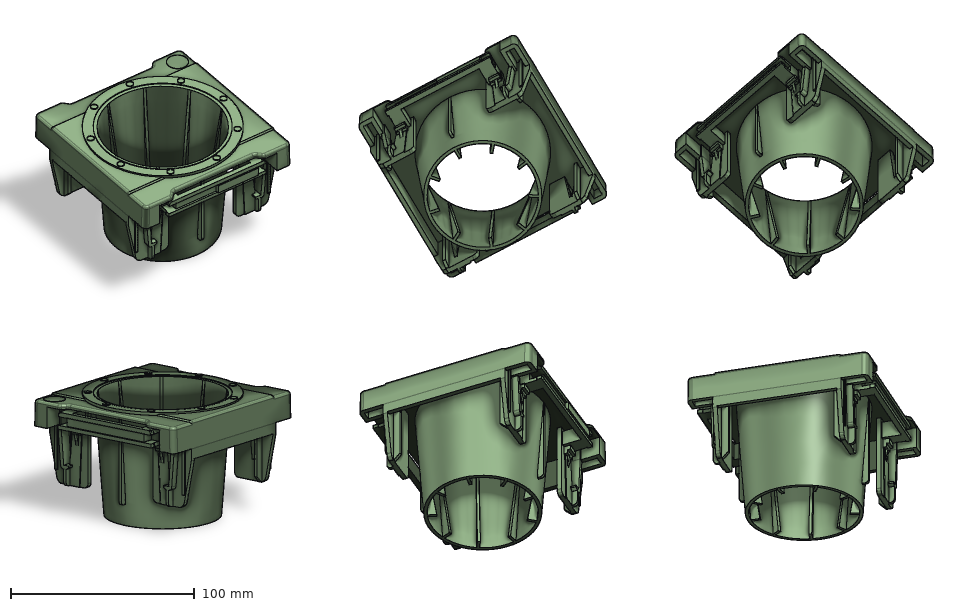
import cadquery as cq

PLATE_X = 103.0
SIZE_Y = 99.0
HEIGHT = 69.0

PLATE_TOP_Y = 98.0
PLATE_TOP = 66.8
SKIN_BOTTOM = 64.2
SKIRT_BOTTOM = 52.1
CORNER_RADIUS = 3.0
EDGE_RADIUS = 1.5
WALL = 2.5
NOTCH_DEPTH = 3.9
NOTCH_HALF_OUTER = 30.6
NOTCH_HALF_INNER = 27.3
NOTCH_RADIUS = 2.6
POST_INNER_Y = 39.4
POST_INNER_X = 36.9

STRIP_TOP = 67.6
STRIP_HALF_TOP = 35.3
STRIP_HALF_BASE = 36.2

RING_OUTER_R = 87.6 / 2
RING_INNER_R = 75.6 / 2
RING_TOP = 68.5
PIN_COUNT = 9
PIN_DIAMETER = 4.0
PIN_CIRCLE_R = (RING_OUTER_R + RING_INNER_R) / 2
MARK_DIAMETER = 12.0
MARK_DEPTH = 0.2
MARK_X = -42.9
MARK_Y = 41.0

TUBE_BOTTOM_R = 32.1
TUBE_TOP_R = 36.9
BORE_BOTTOM_R = 30.2
BORE_TOP_R = 35.7
LIP_TOP = 68.0
FIN_COUNT = 9
FIN_TIP_R = 25.0
FIN_THICKNESS = 1.6
RIB_BOTTOM = 12.4
RIB_CORNER_RADIUS = 2.0

LEG_INNER_X = 34.0
LEG_OUTER_X = 36.6
LEG_BOTTOM = 17.9
LEG_INNER_Y = 22.6
LEG_STRAIGHT_Z = 45.5
LEG_FOOT_Y = 43.9
LEG_OUTER_RADIUS = 4.0
LEG_INNER_RADIUS = 3.0
LEG_GUSSET_X = 30.0
LEG_GUSSET_Y = 40.0
LEG_GUSSET_WIDTH = 1.8
LEG_GUSSET_CHAMFER = 3.6
BAND_BOTTOM = 46.2

WINDOW_TOP_Y = 38.5
WINDOW_FOOT_Y = 36.6
WINDOW_BOTTOM = 29.7
WINDOW_RIB_X = 40.4
WINDOW_RIB_WIDTH = 2.2
LEDGE_BOTTOM = WINDOW_BOTTOM - WINDOW_RIB_WIDTH
LEDGE_LIP = 1.0
LEDGE_INNER_Y = 33.1
STEM_INNER_Y = 34.9
STEM_RADIUS = 2.5
LOW_RIB_X = 37.3
LOW_RIB_BOTTOM = 25.4
LOW_RIB_INNER_Y = 43.6
LOW_RIB_WIDTH = 1.8

ARM_OUTER_X = 37.2
ARM_TOP_OUTER_Y = 32.0
ARM_TOP_INNER_Y = 26.0
ARM_FOOT_OUTER_Y = 35.0
ARM_FOOT_INNER_Y = 28.2
ARM_BRACKET_X = 40.4
BRACKET_STEP_Z = 49.9
BRACKET_BOTTOM = 47.8
BRACKET_FOOT_X = 38.7
BRACKET_INNER_Y = 26.1
RAIL_ARM_INNER_Y = 24.3
ARM_GUSSET_BOTTOM = 41.3
ARM_GUSSET_INNER_Y = 28.9
ARM_GUSSET_WIDTH = 1.8

RAIL_OUTER_X = 50.6
RAIL_DEPTH = 3.0
RAIL_HALF_TOP = 32.0
RAIL_HALF_BASE = 32.6
RAIL_TOP = 62.3
RAIL_BOTTOM = 52.7
RAIL_CORNER_RADIUS = 1.5
GROOVE_TOP = 59.8
GROOVE_BOTTOM = 54.9
GROOVE_DEPTH = 1.2
END_POCKET_DEPTH = 7.5
END_POCKET_Y = 26.9
TAB_LENGTH = 26.9


def box(x0, x1, y0, y1, z0, z1):
    """Box between two opposite corners."""
    return cq.Workplane("XY").box(x1 - x0, y1 - y0, z1 - z0, centered=False).translate((x0, y0, z0))


def slab_x(points, x0, x1):
    """Closed (y, z) outline extruded along X from x0 to x1."""
    return cq.Workplane("YZ", origin=(x0, 0, 0)).polyline(points).close().extrude(x1 - x0)


def slab_y(points, y0, y1):
    """Closed (x, z) outline extruded along Y from y0 to y1."""
    return cq.Workplane("XZ", origin=(0, y1, 0)).polyline(points).close().extrude(y1 - y0)


def both_x_sides(body):
    return body.union(body.mirror("YZ"))


def four_quadrants(body):
    half = body.union(body.mirror("XZ"))
    return both_x_sides(half)


def make_block():
    """Solid block of the frame: Y faces lean in towards the top, with the raised strip on it."""
    half_x = PLATE_X / 2
    profile = [
        (-half_x, SKIRT_BOTTOM),
        (half_x, SKIRT_BOTTOM),
        (half_x, PLATE_TOP),
        (STRIP_HALF_BASE, PLATE_TOP),
        (STRIP_HALF_TOP, STRIP_TOP),
        (-STRIP_HALF_TOP, STRIP_TOP),
        (-STRIP_HALF_BASE, PLATE_TOP),
        (-half_x, PLATE_TOP),
    ]
    drafted_sides = [
        (-SIZE_Y / 2, SKIRT_BOTTOM),
        (SIZE_Y / 2, SKIRT_BOTTOM),
        (PLATE_TOP_Y / 2, STRIP_TOP),
        (-PLATE_TOP_Y / 2, STRIP_TOP),
    ]
    block = slab_y(profile, -SIZE_Y / 2, SIZE_Y / 2)
    block = block.intersect(slab_x(drafted_sides, -half_x, half_x))
    return block.faces("<X or >X").edges("not(|Y)").fillet(CORNER_RADIUS)


def cut_notches(block):
    """Shallow notch with rounded ends in each X side."""
    half_x = PLATE_X / 2
    notch = (
        cq.Workplane("XY", origin=(0, 0, SKIRT_BOTTOM))
        .moveTo(half_x, -NOTCH_HALF_OUTER)
        .lineTo(half_x - NOTCH_DEPTH, -NOTCH_HALF_INNER)
        .lineTo(half_x - NOTCH_DEPTH, NOTCH_HALF_INNER)
        .lineTo(half_x, NOTCH_HALF_OUTER)
        .close()
        .extrude(PLATE_TOP - SKIRT_BOTTOM)
    )
    reach_y = NOTCH_HALF_OUTER + NOTCH_RADIUS
    notch_zone = cq.selectors.BoxSelector((-PLATE_X, -reach_y, 0), (PLATE_X, reach_y, HEIGHT))
    return block.cut(both_x_sides(notch)).edges("|Z").edges(notch_zone).fillet(NOTCH_RADIUS)


def round_top_edges(block):
    """Round the outer top edge all the way round, leaving the strip slopes sharp."""
    step = STRIP_TOP - PLATE_TOP
    top_edges = cq.selectors.BoxSelector(
        (-PLATE_X, -SIZE_Y, PLATE_TOP - step), (PLATE_X, SIZE_Y, HEIGHT)
    )
    strip_lines = cq.selectors.BoxSelector(
        (-PLATE_X / 2 + NOTCH_DEPTH + step, -step, SKIN_BOTTOM),
        (PLATE_X / 2 - NOTCH_DEPTH - step, step, HEIGHT),
    )
    return block.edges(top_edges - strip_lines).fillet(EDGE_RADIUS)


def make_frame():
    """Top skin with a skirt along the Y sides and a post at each corner."""
    half_x = PLATE_X / 2
    inner_x = half_x - WALL
    inner_y = SIZE_Y / 2 - WALL
    frame = round_top_edges(cut_notches(make_block()))
    frame = frame.cut(box(-inner_x, inner_x, -inner_y, inner_y, SKIRT_BOTTOM, SKIN_BOTTOM))
    frame = frame.cut(box(-half_x, half_x, -POST_INNER_Y, POST_INNER_Y, SKIRT_BOTTOM, SKIN_BOTTOM))
    post_wall = box(POST_INNER_X, inner_x, POST_INNER_Y, POST_INNER_Y + WALL, SKIRT_BOTTOM, SKIN_BOTTOM)
    return frame.union(four_quadrants(post_wall))


def make_ring_and_pins():
    ring = cq.Workplane("XY", origin=(0, 0, SKIN_BOTTOM)).circle(RING_OUTER_R).extrude(RING_TOP - SKIN_BOTTOM)
    pins = (
        cq.Workplane("XY", origin=(0, 0, SKIN_BOTTOM))
        .polarArray(PIN_CIRCLE_R, 90, 360, PIN_COUNT)
        .circle(PIN_DIAMETER / 2)
        .extrude(HEIGHT - SKIN_BOTTOM)
    )
    return ring.union(pins)


def make_tube():
    return (
        cq.Workplane("XZ")
        .polyline(
            [
                (0, 0),
                (TUBE_BOTTOM_R, 0),
                (TUBE_TOP_R, SKIN_BOTTOM),
                (0, SKIN_BOTTOM),
            ]
        )
        .close()
        .revolve(360, (0, 0, 0), (0, 1, 0))
    )


def make_bore():
    """Tapered bore with a shallow step inside the ring."""
    return (
        cq.Workplane("XZ")
        .polyline(
            [
                (0, 0),
                (BORE_BOTTOM_R, 0),
                (BORE_TOP_R, LIP_TOP),
                (RING_INNER_R, LIP_TOP),
                (RING_INNER_R, RING_TOP),
                (0, RING_TOP),
            ]
        )
        .close()
        .revolve(360, (0, 0, 0), (0, 1, 0))
    )


def make_fins():
    """Wedge fins that grow inwards from the rim to the lower end of the bore."""
    root_bottom_r = (BORE_BOTTOM_R + TUBE_BOTTOM_R) / 2
    root_top_r = BORE_TOP_R + root_bottom_r - BORE_BOTTOM_R
    outline = [(FIN_TIP_R, 0), (root_bottom_r, 0), (root_top_r, LIP_TOP), (BORE_TOP_R, LIP_TOP)]
    fin = slab_y(outline, -FIN_THICKNESS / 2, FIN_THICKNESS / 2)
    fins = fin
    for index in range(1, FIN_COUNT):
        fins = fins.union(fin.rotate((0, 0, 0), (0, 0, 1), index * 360 / FIN_COUNT))
    return fins


def make_outer_ribs():
    rib = box(BORE_TOP_R - WALL, POST_INNER_X, -FIN_THICKNESS / 2, FIN_THICKNESS / 2, RIB_BOTTOM, SKIN_BOTTOM)
    rib = rib.faces(">X").edges("<Z").fillet(RIB_CORNER_RADIUS)
    return both_x_sides(rib)


def leg_window():
    """Opening between the outer leg and the spring arm."""
    outline = [
        (WINDOW_TOP_Y, SKIN_BOTTOM),
        (WINDOW_TOP_Y, SKIRT_BOTTOM),
        (WINDOW_FOOT_Y, WINDOW_BOTTOM),
        (STEM_INNER_Y, WINDOW_BOTTOM),
        (ARM_TOP_OUTER_Y, RAIL_TOP),
        (ARM_TOP_OUTER_Y, SKIN_BOTTOM),
    ]
    return slab_x(outline, LEG_INNER_X, LEG_OUTER_X)


def make_leg():
    half_y = SIZE_Y / 2
    plate = slab_x(
        [
            (LEG_INNER_Y, LEG_BOTTOM),
            (LEG_FOOT_Y, LEG_BOTTOM),
            (half_y, LEG_STRAIGHT_Z),
            (half_y, SKIRT_BOTTOM),
            (half_y - WALL, SKIRT_BOTTOM),
            (half_y - WALL, SKIN_BOTTOM),
            (LEG_INNER_Y, SKIN_BOTTOM),
        ],
        LEG_INNER_X,
        LEG_OUTER_X,
    )
    plate = plate.faces("<Z").edges("|X").edges(">Y").fillet(LEG_OUTER_RADIUS)
    plate = plate.faces("<Z").edges("|X").edges("<Y").fillet(LEG_INNER_RADIUS)
    gusset = slab_y(
        [
            (LEG_GUSSET_X, SKIN_BOTTOM),
            (LEG_GUSSET_X, LEG_BOTTOM + LEG_GUSSET_CHAMFER),
            (LEG_GUSSET_X + LEG_GUSSET_CHAMFER, LEG_BOTTOM),
            (LEG_OUTER_X, LEG_BOTTOM),
            (LEG_OUTER_X, SKIN_BOTTOM),
        ],
        LEG_GUSSET_Y,
        LEG_GUSSET_Y + LEG_GUSSET_WIDTH,
    )
    return plate.cut(leg_window()).union(gusset)


def make_leg_ribs():
    """Rib beside the window that turns into a ledge and a stem, plus a low rib."""
    rib_foot_y = WINDOW_FOOT_Y + WINDOW_RIB_WIDTH
    window_rib = (
        cq.Workplane("YZ", origin=(LEG_INNER_X, 0, 0))
        .moveTo(WINDOW_TOP_Y, SKIN_BOTTOM)
        .lineTo(WINDOW_TOP_Y, SKIRT_BOTTOM)
        .lineTo(WINDOW_FOOT_Y, WINDOW_BOTTOM)
        .lineTo(LEDGE_INNER_Y, WINDOW_BOTTOM)
        .lineTo(LEDGE_INNER_Y, WINDOW_BOTTOM - LEDGE_LIP)
        .lineTo(STEM_INNER_Y, LEDGE_BOTTOM)
        .lineTo(WINDOW_FOOT_Y, LEDGE_BOTTOM)
        .radiusArc((rib_foot_y, WINDOW_BOTTOM), -WINDOW_RIB_WIDTH)
        .lineTo(WINDOW_TOP_Y + WINDOW_RIB_WIDTH, SKIRT_BOTTOM)
        .lineTo(WINDOW_TOP_Y + WINDOW_RIB_WIDTH, SKIN_BOTTOM)
        .close()
        .extrude(WINDOW_RIB_X - LEG_INNER_X)
    )
    stem = box(LEG_INNER_X, WINDOW_RIB_X, STEM_INNER_Y, WINDOW_FOOT_Y, LEG_BOTTOM, WINDOW_BOTTOM)
    stem = stem.faces(">X").edges("<Z").fillet(STEM_RADIUS)
    low_rib = box(
        LEG_INNER_X, LOW_RIB_X,
        LOW_RIB_INNER_Y, LOW_RIB_INNER_Y + LOW_RIB_WIDTH,
        LOW_RIB_BOTTOM, SKIN_BOTTOM,
    )
    return window_rib.union(stem).union(low_rib)


def make_arm():
    """Spring arm rising from the leg foot, with a bracket that reaches out to the rail."""
    arm_outline = [
        (ARM_FOOT_INNER_Y, LEG_BOTTOM),
        (ARM_FOOT_OUTER_Y, LEG_BOTTOM),
        (ARM_FOOT_OUTER_Y, WINDOW_BOTTOM),
        (ARM_TOP_OUTER_Y, RAIL_TOP),
        (ARM_TOP_INNER_Y, RAIL_TOP),
    ]
    bracket_profile = [
        (LEG_INNER_X, BRACKET_BOTTOM),
        (BRACKET_FOOT_X, BRACKET_BOTTOM),
        (BRACKET_FOOT_X, BRACKET_STEP_Z),
        (ARM_BRACKET_X, BRACKET_STEP_Z),
        (ARM_BRACKET_X, RAIL_BOTTOM),
        (LEG_INNER_X, RAIL_BOTTOM),
    ]
    gusset_profile = [
        (LEG_INNER_X, ARM_GUSSET_BOTTOM),
        (ARM_OUTER_X, ARM_GUSSET_BOTTOM),
        (BRACKET_FOOT_X, BRACKET_BOTTOM),
        (LEG_INNER_X, BRACKET_BOTTOM),
    ]
    arm = slab_x(arm_outline, LEG_INNER_X, ARM_OUTER_X)
    bracket = slab_y(bracket_profile, BRACKET_INNER_Y, RAIL_HALF_BASE)
    rail_arm = box(
        LEG_INNER_X, RAIL_OUTER_X - GROOVE_DEPTH, RAIL_ARM_INNER_Y, ARM_TOP_OUTER_Y, RAIL_BOTTOM, RAIL_TOP
    )
    gusset = slab_y(gusset_profile, ARM_GUSSET_INNER_Y, ARM_GUSSET_INNER_Y + ARM_GUSSET_WIDTH)
    return arm.union(bracket).union(rail_arm).union(gusset)


def make_band():
    """Wall between the legs that drops below the skirt on each Y side."""
    half_y = SIZE_Y / 2
    lower = box(-LEG_OUTER_X, LEG_OUTER_X, half_y - WALL, half_y, BAND_BOTTOM, SKIRT_BOTTOM)
    return lower.union(lower.mirror("XZ"))


def make_rails():
    inner_x = RAIL_OUTER_X - RAIL_DEPTH
    rail = slab_x(
        [
            (-RAIL_HALF_BASE, RAIL_BOTTOM),
            (RAIL_HALF_BASE, RAIL_BOTTOM),
            (RAIL_HALF_TOP, RAIL_TOP),
            (-RAIL_HALF_TOP, RAIL_TOP),
        ],
        inner_x,
        RAIL_OUTER_X,
    )
    rail = rail.edges("|X and >Z").fillet(RAIL_CORNER_RADIUS)
    return both_x_sides(rail)


def make_rail_grooves():
    """Outer groove along each rail, deeper at both ends."""
    groove_x = RAIL_OUTER_X - GROOVE_DEPTH
    pocket_x = RAIL_OUTER_X - END_POCKET_DEPTH
    groove = box(groove_x, RAIL_OUTER_X, -RAIL_HALF_BASE, RAIL_HALF_BASE, GROOVE_BOTTOM, GROOVE_TOP)
    pocket = box(pocket_x, RAIL_OUTER_X, END_POCKET_Y, RAIL_HALF_BASE, GROOVE_BOTTOM, GROOVE_TOP)
    return both_x_sides(groove).union(four_quadrants(pocket))


def make_tab():
    """Tab on one half of the +X rail, flush with the plate side."""
    return box(RAIL_OUTER_X - RAIL_DEPTH, PLATE_X / 2, 0, TAB_LENGTH, GROOVE_BOTTOM, GROOVE_TOP)


def make_mark_recess():
    return (
        cq.Workplane("XY", origin=(MARK_X, MARK_Y, PLATE_TOP - MARK_DEPTH))
        .circle(MARK_DIAMETER / 2)
        .extrude(MARK_DEPTH)
    )


legs = four_quadrants(make_leg().union(make_leg_ribs()).union(make_arm()))

result = (
    make_frame()
    .union(make_ring_and_pins())
    .union(make_tube())
    .union(make_outer_ribs())
    .union(make_band())
    .union(make_rails())
    .union(legs)
    .cut(make_rail_grooves())
    .union(make_tab())
    .cut(make_mark_recess())
    .cut(make_bore())
    .union(make_fins())
)